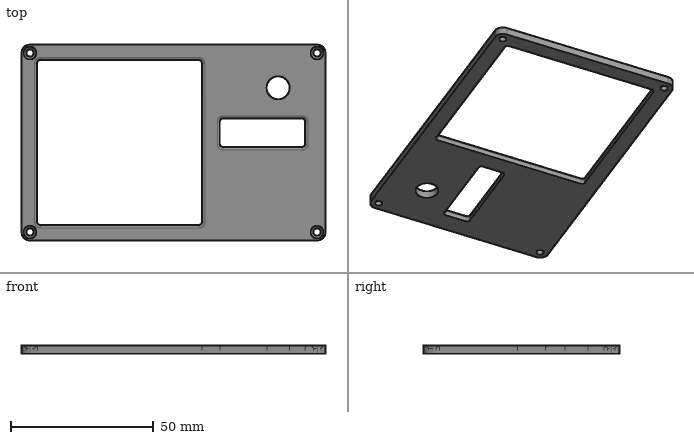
import cadquery as cq

LENGTH = 107.0
WIDTH = 69.0
THICKNESS = 3.0
CORNER_RADIUS = 3.0

SCREW_DIAMETER = 2.5
COUNTERSINK_DIAMETER = 4.5
COUNTERSINK_ANGLE = 90.0

WINDOW_SIZE = 57.9
WINDOW_CENTER = (-19.0, 0.0)
SLOT_LENGTH = 29.9
SLOT_WIDTH = 9.9
SLOT_CENTER = (31.3, 3.45)
OPENING_CORNER_RADIUS = 1.0
RIM_RADIUS = 1.0

ROUND_HOLE_DIAMETER = 8.0
ROUND_HOLE_CENTER = (36.8, 19.25)


def make_plate():
    """Flat plate with rounded vertical corners."""
    plate = cq.Workplane("XY").rect(LENGTH, WIDTH).extrude(THICKNESS)
    return plate.edges("|Z").fillet(CORNER_RADIUS)


def cut_opening(part, length, width, center):
    """Rounded rectangular through opening whose upper edge is filleted."""
    cutter = (
        cq.Workplane("XY")
        .rect(length, width)
        .extrude(THICKNESS)
        .edges("|Z")
        .fillet(OPENING_CORNER_RADIUS)
        .translate((*center, 0))
    )
    center_x, center_y = center
    half_length = length / 2 + RIM_RADIUS
    half_width = width / 2 + RIM_RADIUS
    opening_region = cq.selectors.BoxSelector(
        (center_x - half_length, center_y - half_width, 0),
        (center_x + half_length, center_y + half_width, 2 * THICKNESS),
    )
    return part.cut(cutter).faces(">Z").edges(opening_region).fillet(RIM_RADIUS)


def cut_screw_holes(part):
    """Countersunk through hole at each plate corner."""
    return (
        part.faces(">Z")
        .workplane(origin=(0, 0, THICKNESS))
        .rect(LENGTH - 2 * CORNER_RADIUS, WIDTH - 2 * CORNER_RADIUS, forConstruction=True)
        .vertices()
        .cskHole(SCREW_DIAMETER, COUNTERSINK_DIAMETER, COUNTERSINK_ANGLE)
    )


def cut_round_hole(part):
    """Plain through hole on the +Y side of the slot."""
    return (
        part.faces(">Z")
        .workplane(origin=(0, 0, THICKNESS))
        .center(*ROUND_HOLE_CENTER)
        .hole(ROUND_HOLE_DIAMETER)
    )


result = make_plate()
result = cut_opening(result, WINDOW_SIZE, WINDOW_SIZE, WINDOW_CENTER)
result = cut_opening(result, SLOT_LENGTH, SLOT_WIDTH, SLOT_CENTER)
result = cut_screw_holes(result)
result = cut_round_hole(result)